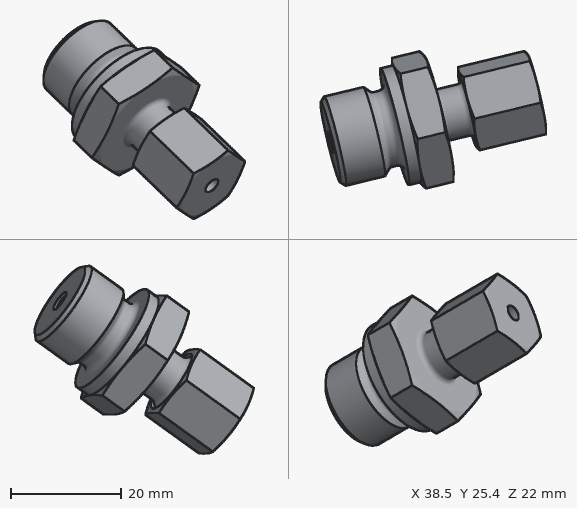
import cadquery as cq
import math

LENGTH = 38.5
RELIEF_START = 8.12
RELIEF_FLOOR_START = 9.78
RELIEF_FLOOR_END = 10.7
FLANGE_START = 11.97
BODY_HEX_START = 14.2
BODY_HEX_END = 20.25
NECK_START = 21.25
NECK_END = 24.7
NUT_START = 25.55

THREAD_RADIUS = 16.67 / 2
THREAD_CHAMFER = 0.85
RELIEF_RADIUS = 14.0 / 2
RELIEF_ANGLE = math.radians(47)
RELIEF_FLANGE_RISE = FLANGE_START - RELIEF_FLOOR_END
FLANGE_RADIUS = 21.8 / 2
NECK_RADIUS = 9.6 / 2
NECK_BODY_RISE = NECK_START - BODY_HEX_END
NECK_NUT_RISE = 0.35
NUT_RECESS_RADIUS = 12.0 / 2
BORE_RADIUS = 3.0 / 2
BORE_CHAMFER = 0.45

BODY_ACROSS_FLATS = 22.0
NUT_ACROSS_FLATS = 14.0
HEX_CHAMFER_ANGLE = math.radians(15)


def flare_middle(floor, wall):
    """Midpoint of the arc from floor to wall that runs parallel to X at floor."""
    width = wall[0] - floor[0]
    rise = wall[1] - floor[1]
    radius = (width**2 + rise**2) / (2 * rise)
    half_angle = math.atan(rise / width)
    return (
        floor[0] + radius * math.sin(half_angle),
        floor[1] + radius * (1 - math.cos(half_angle)),
    )


def revolve_about_x(profile):
    return profile.close().revolve(360, (0, 0, 0), (1, 0, 0))


def make_turned_body():
    """Thread, undercut, sealing flange and neck, turned about X."""
    slope = math.tan(RELIEF_ANGLE)
    relief_length = RELIEF_FLOOR_START - RELIEF_START
    relief_depth = THREAD_RADIUS - RELIEF_RADIUS
    blend_width = (relief_length * slope - relief_depth) / (slope - math.tan(RELIEF_ANGLE / 2))
    blend_start = (
        RELIEF_FLOOR_START - blend_width,
        RELIEF_RADIUS + blend_width * math.tan(RELIEF_ANGLE / 2),
    )
    relief_wall = (FLANGE_START, RELIEF_RADIUS + RELIEF_FLANGE_RISE)
    body_wall = (BODY_HEX_END, NECK_RADIUS + NECK_BODY_RISE)
    nut_wall = (NUT_START, NECK_RADIUS + NECK_NUT_RISE)
    relief_floor_start = (RELIEF_FLOOR_START, RELIEF_RADIUS)
    relief_floor_end = (RELIEF_FLOOR_END, RELIEF_RADIUS)
    neck_start = (NECK_START, NECK_RADIUS)
    neck_end = (NECK_END, NECK_RADIUS)

    profile = (
        cq.Workplane("XY")
        .lineTo(0, THREAD_RADIUS - THREAD_CHAMFER)
        .lineTo(THREAD_CHAMFER, THREAD_RADIUS)
        .lineTo(RELIEF_START, THREAD_RADIUS)
        .lineTo(*blend_start)
        .threePointArc(flare_middle(relief_floor_start, blend_start), relief_floor_start)
        .lineTo(*relief_floor_end)
        .threePointArc(flare_middle(relief_floor_end, relief_wall), relief_wall)
        .lineTo(FLANGE_START, FLANGE_RADIUS)
        .lineTo(BODY_HEX_START, FLANGE_RADIUS)
        .lineTo(BODY_HEX_START, body_wall[1])
        .lineTo(*body_wall)
        .threePointArc(flare_middle(neck_start, body_wall), neck_start)
        .lineTo(*neck_end)
        .threePointArc(flare_middle(neck_end, nut_wall), nut_wall)
        .lineTo(NUT_START, 0)
    )
    return revolve_about_x(profile)


def make_hex(start, end, across_flats):
    """Hexagonal prism along X with its corners turned off conically at both ends."""
    corner_radius = across_flats / math.sqrt(3)
    face_radius = across_flats / 2
    chamfer = (corner_radius - face_radius) * math.tan(HEX_CHAMFER_ANGLE)
    prism = (
        cq.Workplane("YZ", origin=(start, 0, 0))
        .polygon(6, 2 * corner_radius)
        .extrude(end - start)
    )
    envelope = revolve_about_x(
        cq.Workplane("XY")
        .moveTo(start, 0)
        .lineTo(start, face_radius)
        .lineTo(start + chamfer, corner_radius)
        .lineTo(end - chamfer, corner_radius)
        .lineTo(end, face_radius)
        .lineTo(end, 0)
    )
    return prism.intersect(envelope)


def make_nut_recess():
    """Annular recess in the nut face, closed by the 45 degree cone leading onto the stub."""
    cone_radius = NECK_RADIUS + NECK_NUT_RISE
    cone_length = NUT_RECESS_RADIUS - cone_radius
    return revolve_about_x(
        cq.Workplane("XY")
        .moveTo(NUT_START, cone_radius)
        .lineTo(NUT_START, NUT_RECESS_RADIUS)
        .lineTo(NUT_START + cone_length, NUT_RECESS_RADIUS)
    )


def make_bore():
    """Through bore with a chamfered mouth at the threaded end."""
    return revolve_about_x(
        cq.Workplane("XY")
        .lineTo(0, BORE_RADIUS + BORE_CHAMFER)
        .lineTo(BORE_CHAMFER, BORE_RADIUS)
        .lineTo(LENGTH, BORE_RADIUS)
        .lineTo(LENGTH, 0)
    )


body_hex = make_hex(BODY_HEX_START, BODY_HEX_END, BODY_ACROSS_FLATS)
nut = make_hex(NUT_START, LENGTH, NUT_ACROSS_FLATS).cut(make_nut_recess())
result = make_turned_body().union(body_hex).union(nut).cut(make_bore())